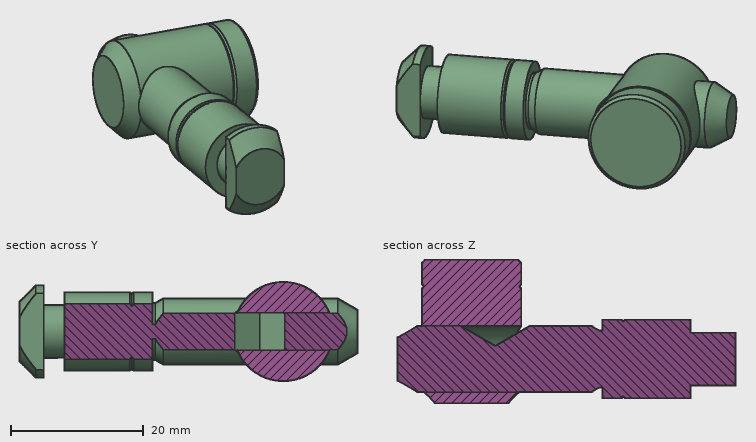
import cadquery as cq
import math


shaft_radius = 5.0
groove_depth = 0.3

sleeve_radius = 7.5
sleeve_front = -6.7
sleeve_back = 15.0
sleeve_front_chamfer = 2.0
sleeve_back_chamfer = 0.5
sleeve_groove_y = 10.95

shaft_start = -11.2
taper_slope = math.tan(math.radians(30))
tip_taper_length = 3.0
shoulder_taper_start = 18.1
shoulder_taper_length = 1.2

collar_start = 19.7
collar_end = 33.0
collar_radius = 5.95
collar_groove_x = 22.85
neck_radius = 4.0
head_start = 36.1
head_end = 39.8
head_radius = 7.0
head_rim_length = 1.2
head_thickness = 2 * neck_radius

notch_end = 8.76
notch_depth = 3.0
notch_slope = math.tan(math.radians(30))


def make_sleeve():
    """Sleeve with solid ends, turned about Y and bored through along X for the shaft."""
    body = (
        cq.Workplane("YZ")
        .moveTo(sleeve_front, 0)
        .lineTo(sleeve_front, sleeve_radius - sleeve_front_chamfer)
        .lineTo(sleeve_front + sleeve_front_chamfer, sleeve_radius)
        .lineTo(sleeve_groove_y - groove_depth, sleeve_radius)
        .lineTo(sleeve_groove_y, sleeve_radius - groove_depth)
        .lineTo(sleeve_groove_y + groove_depth, sleeve_radius)
        .lineTo(sleeve_back - sleeve_back_chamfer, sleeve_radius)
        .lineTo(sleeve_back, sleeve_radius - sleeve_back_chamfer)
        .lineTo(sleeve_back, 0)
        .close()
        .revolve(360, (0, 0, 0), (1, 0, 0))
    )
    bore = cq.Workplane("YZ").circle(shaft_radius).extrude(sleeve_radius, both=True)
    return body.cut(bore)


def make_turned_bolt():
    """Shaft, collar and neck as one turned profile about X."""
    tip_radius = shaft_radius - tip_taper_length * taper_slope
    shoulder_radius = shaft_radius - shoulder_taper_length * taper_slope
    return (
        cq.Workplane("XZ")
        .moveTo(shaft_start, 0)
        .lineTo(shaft_start, tip_radius)
        .lineTo(shaft_start + tip_taper_length, shaft_radius)
        .lineTo(shoulder_taper_start, shaft_radius)
        .lineTo(shoulder_taper_start + shoulder_taper_length, shoulder_radius)
        .lineTo(collar_start, shoulder_radius)
        .lineTo(collar_start, collar_radius)
        .lineTo(collar_groove_x - groove_depth, collar_radius)
        .lineTo(collar_groove_x, collar_radius - groove_depth)
        .lineTo(collar_groove_x + groove_depth, collar_radius)
        .lineTo(collar_end, collar_radius)
        .lineTo(collar_end, neck_radius)
        .lineTo(head_start, neck_radius)
        .lineTo(head_start, 0)
        .close()
        .revolve(360, (0, 0, 0), (1, 0, 0))
    )


def make_hammer_head():
    """Round head with a 45 degree cone, trimmed to two flats facing -Y and +Y."""
    head_length = head_end - head_start
    disc = (
        cq.Workplane("YZ", origin=(head_start, 0, 0))
        .circle(head_radius)
        .extrude(head_length)
        .faces(">X")
        .chamfer(head_length - head_rim_length)
    )
    slab = (
        cq.Workplane("YZ", origin=(head_start, 0, 0))
        .rect(head_thickness, 2 * head_radius)
        .extrude(head_length)
    )
    return disc.intersect(slab)


def make_notch():
    """Symmetric V-shaped prism that opens towards +Y."""
    notch_half_width = notch_depth / notch_slope
    return (
        cq.Workplane("XY")
        .moveTo(notch_end, shaft_radius)
        .lineTo(notch_end - notch_half_width, shaft_radius - notch_depth)
        .lineTo(notch_end - 2 * notch_half_width, shaft_radius)
        .close()
        .extrude(shaft_radius, both=True)
    )


sleeve = make_sleeve()
bolt = make_turned_bolt().union(make_hammer_head()).cut(make_notch())

result = cq.Compound.makeCompound([sleeve.val(), bolt.val()])